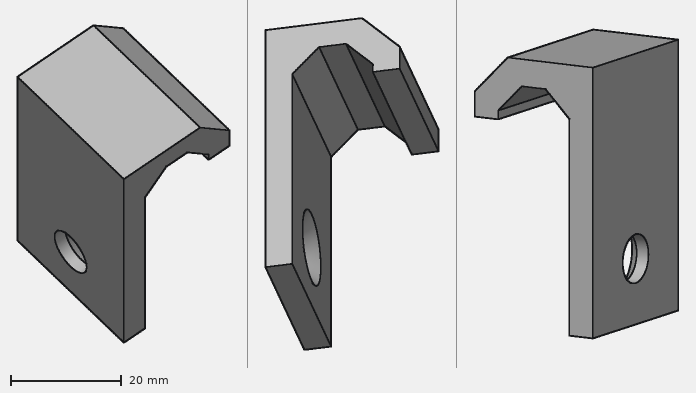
import cadquery as cq

width = 30.0
depth = 25.0
height = 50.0

wall = 5.0
outer_chamfer = 7.0
inner_chamfer = 5.0
lip_height = 11.65

hole_diameter = 9.0
hole_height = 12.15
countersink_diameter = 14.0
straight_depth = 2.5

channel_top = height - wall
channel_shoulder = channel_top - inner_chamfer
lip_inner = depth - wall
lip_bottom = height - lip_height

profile = [
    (0, 0),
    (0, height),
    (depth - outer_chamfer, height),
    (depth, height - outer_chamfer),
    (depth, lip_bottom),
    (lip_inner, lip_bottom),
    (lip_inner, channel_shoulder),
    (lip_inner - inner_chamfer, channel_top),
    (wall + inner_chamfer, channel_top),
    (wall, channel_shoulder),
    (wall, 0),
]
bracket = cq.Workplane("YZ").polyline(profile).close().extrude(width / 2, both=True)

hole = (
    cq.Workplane("XZ")
    .center(0, hole_height)
    .circle(hole_diameter / 2)
    .extrude(-wall)
)

countersink = (
    cq.Workplane("XZ", origin=(0, straight_depth, 0))
    .center(0, hole_height)
    .circle(hole_diameter / 2)
    .workplane(offset=straight_depth - wall)
    .circle(countersink_diameter / 2)
    .loft()
)

result = bracket.cut(hole).cut(countersink)